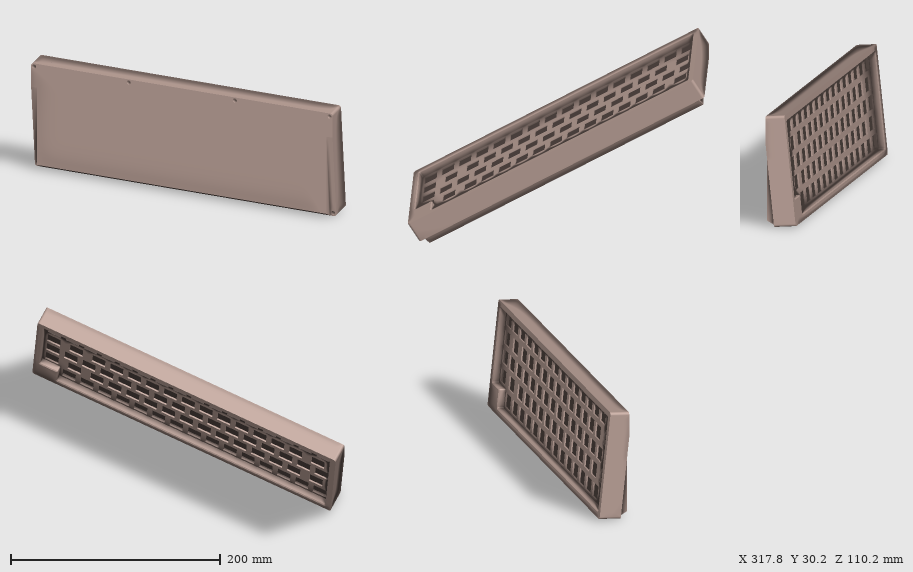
import cadquery as cq
import math

WIDTH = 317.8
LENGTH = 108.5
TILT = 6.0
BASE_THICKNESS = 10.5
TOP_THICKNESS = 11.0
TOP_EDGE_THICKNESS = 19.0
CORNER_RADIUS = 2.5

SIDE_STEP = 6.5
FOOT_RISE = 4.8
COVER_INSET = 17.8
COVER_HEIGHT = 34.0

KEY_PITCH = 19.0
KEY_HOLE = 14.0
COLUMNS = 16
ROWS = 5
WIDE_KEY = 1.5
WINDOW_CHAMFER = 1.0
WINDOW_RADIUS = 1.3
PLATE_DEPTH = 6.7
PLATE_THICKNESS = 1.5
PLATE_LEDGE = 1.3

SCREW_INSET = 3.2
INNER_SCREW_X = 103.0
SCREW_HEAD_DIAMETER = 4.0
SCREW_CLEARANCE_DIAMETER = 2.0
SCREW_PILOT_DIAMETER = 1.62
SCREW_SEAT = 5.0
PILOT_DEPTH = 3.8

SOCKET_DIAMETER = 4.0
SOCKET_DEPTH = 3.8
SOCKET_INSET = 2.5
SOCKET_END_DISTANCE = 16.0

TILT_RADIANS = math.radians(TILT)
THICKNESS = BASE_THICKNESS + TOP_THICKNESS
BACK_Y = (
    (THICKNESS - TOP_EDGE_THICKNESS) * math.cos(TILT_RADIANS) - LENGTH * math.sin(TILT_RADIANS)
)
FIELD_X = (WIDTH - COLUMNS * KEY_PITCH) / 2
FIELD_Z = (LENGTH - ROWS * KEY_PITCH) / 2
FIELD_TOP = FIELD_Z + ROWS * KEY_PITCH
LAST_COLUMN_X = FIELD_X + (COLUMNS - 1) * KEY_PITCH
SOCKET_X = (SOCKET_END_DISTANCE, WIDTH / 2, WIDTH - SOCKET_END_DISTANCE)
PLATE_Y = THICKNESS - PLATE_DEPTH - PLATE_THICKNESS


def box(x0, x1, y0, y1, z0, z1):
    return cq.Workplane("XY").box(x1 - x0, y1 - y0, z1 - z0, centered=False).translate((x0, y0, z0))


def tilted(body):
    return body.rotate((0, 0, 0), (1, 0, 0), TILT)


def slab(y0, y1):
    return box(0, WIDTH, y0, y1, 0, LENGTH).edges("|Y").fillet(CORNER_RADIUS)


def bore(diameter, x, z, y0, y1):
    """Cylinder along Y from y0 to y1."""
    circle = cq.Workplane("XZ", origin=(x, y0, z)).circle(diameter / 2)
    return circle.extrude(y0 - y1)


def screw_places():
    lower_z = SCREW_INSET
    upper_z = LENGTH - SCREW_INSET
    places = []
    for x in (SCREW_INSET, WIDTH - SCREW_INSET):
        places += [(x, lower_z), (x, upper_z)]
    for x in (INNER_SCREW_X, WIDTH - INNER_SCREW_X):
        places.append((x, upper_z))
    return places


def foot_wedge(x0, x1):
    """Wedge between the tilted slab back and the upright back plane."""
    slope_meets_back = -BACK_Y / math.tan(TILT_RADIANS)
    return (
        cq.Workplane("YZ", origin=(x0, 0, 0))
        .polyline([(0, 0), (BACK_Y, FOOT_RISE), (BACK_Y, slope_meets_back)])
        .close()
        .extrude(x1 - x0)
    )


def make_cover():
    wedge = foot_wedge(COVER_INSET, WIDTH - COVER_INSET)
    return wedge.intersect(box(0, WIDTH, BACK_Y, 0, 0, COVER_HEIGHT))


def make_base(cover):
    base = tilted(slab(0, BASE_THICKNESS))
    base = base.cut(box(0, WIDTH, BACK_Y - THICKNESS, BACK_Y, 0, 2 * LENGTH))
    base = base.union(foot_wedge(SIDE_STEP, WIDTH - SIDE_STEP)).cut(cover)
    seat_y = BASE_THICKNESS - SCREW_SEAT
    for x, z in screw_places():
        base = base.cut(tilted(bore(SCREW_HEAD_DIAMETER, x, z, -THICKNESS, seat_y)))
        base = base.cut(tilted(bore(SCREW_CLEARANCE_DIAMETER, x, z, seat_y, BASE_THICKNESS)))
    return base


def window():
    """Opening around the key field, whose last column starts one row higher."""
    right = WIDTH - FIELD_X
    opening = box(FIELD_X, right, BASE_THICKNESS, THICKNESS, FIELD_Z, FIELD_TOP)
    step = box(LAST_COLUMN_X, right, BASE_THICKNESS, THICKNESS, FIELD_Z, FIELD_Z + KEY_PITCH)
    return opening.cut(step).edges("|Y").fillet(WINDOW_RADIUS)


def plate_pocket(y0, y1):
    left = FIELD_X - PLATE_LEDGE
    right = WIDTH - FIELD_X + PLATE_LEDGE
    return box(left, right, y0, y1, FIELD_Z - PLATE_LEDGE, FIELD_TOP + PLATE_LEDGE)


def make_top():
    top = slab(BASE_THICKNESS, THICKNESS).cut(window())
    window_rim = top.faces(">Y").val().innerWires()[0].Edges()
    top = top.newObject(window_rim).chamfer(WINDOW_CHAMFER)
    top = top.cut(plate_pocket(BASE_THICKNESS, THICKNESS - PLATE_DEPTH))
    for x, z in screw_places():
        pilot = bore(SCREW_PILOT_DIAMETER, x, z, BASE_THICKNESS, BASE_THICKNESS + PILOT_DEPTH)
        top = top.cut(pilot)
    socket_end = BASE_THICKNESS + SOCKET_DEPTH
    for x in SOCKET_X:
        socket = bore(SOCKET_DIAMETER, x, LENGTH - SOCKET_INSET, BASE_THICKNESS, socket_end)
        top = top.cut(socket)
    return tilted(top)


def key_centers(row):
    """Hole centres of one row, in key pitches from the left end of the key field."""
    main_columns = COLUMNS - 1
    if row % 2 == 0:
        centers = [column + 0.5 for column in range(main_columns)]
    else:
        single_keys = int(main_columns - 2 * WIDE_KEY)
        centers = [WIDE_KEY / 2, main_columns - WIDE_KEY / 2]
        centers += [WIDE_KEY + column + 0.5 for column in range(single_keys)]
    if row > 0:
        centers.append(main_columns + 0.5)
    return centers


def make_plate():
    plate_top = PLATE_Y + PLATE_THICKNESS
    plate = plate_pocket(PLATE_Y, plate_top)
    half = KEY_HOLE / 2
    for row in range(ROWS):
        z = FIELD_Z + (row + 0.5) * KEY_PITCH
        for center in key_centers(row):
            x = FIELD_X + center * KEY_PITCH
            plate = plate.cut(box(x - half, x + half, PLATE_Y, plate_top, z - half, z + half))
    return tilted(plate)


cover = make_cover()
base = make_base(cover)
top = make_top()
plate = make_plate()

bodies = [base, top, plate, cover]
result = cq.Compound.makeCompound([body.solids().val() for body in bodies])